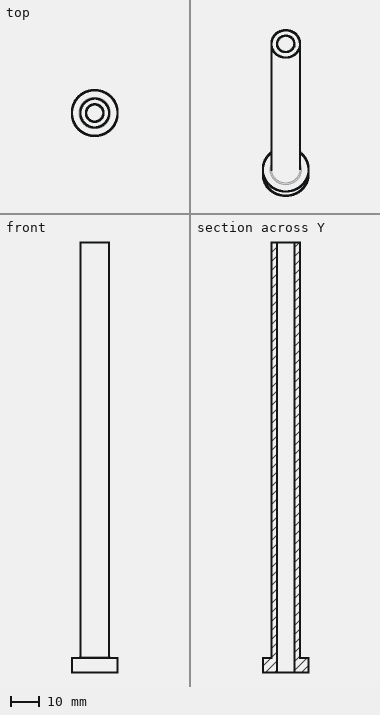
import cadquery as cq

total_length = 150.0
head_diameter = 16.0
head_height = 5.1
shaft_diameter = 10.0
bore_diameter = 6.0
neck_fillet_radius = 0.5

head_radius = head_diameter / 2
shaft_radius = shaft_diameter / 2
bore_radius = bore_diameter / 2
neck_top = head_height + neck_fillet_radius

half_section = (
    cq.Workplane("XZ")
    .moveTo(bore_radius, 0)
    .lineTo(head_radius, 0)
    .lineTo(head_radius, head_height)
    .lineTo(shaft_radius + neck_fillet_radius, head_height)
    .radiusArc((shaft_radius, neck_top), neck_fillet_radius)
    .lineTo(shaft_radius, total_length)
    .lineTo(bore_radius, total_length)
    .close()
)

result = half_section.revolve(360, (0, 0, 0), (0, 1, 0))